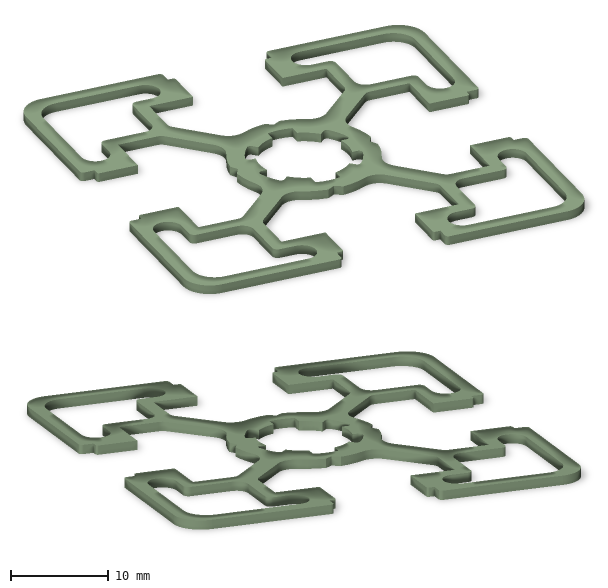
import cadquery as cq
import math


side = 45.0
thickness = 1.0
half_side = side / 2

wall = 1.5
web = 1.45
slot_half_opening = 5.05
slot_half_floor = 10.0
lip_underside = 16.45
lip_step = 0.8
lip_step_depth = 1.5
pocket_end = 7.5
outer_radius = 3.0
pocket_corner_radius = 2.5
pocket_convex_radius = 0.6
pocket_concave_radius = 1.3
lip_edge_radius = 0.4
lip_nose_radius = 0.25

spoke_width = 2.23
spoke_ring_radius = 2.0
spoke_slot_radius = 1.0
ring_radius = 8.0
ring_notch_half_width = 0.92
ring_notch_floor = 7.45

bore_radius = 5.0
lobe_radius = 6.1
lobe_side_offset = 1.4
lobe_corner_radius = 0.4
quarter_angles = (0, 90, 180, 270)
spoke_angle = 45.0


def fillet_at(body, points, radius):
    """Round the vertical edges that stand at the given XY points."""
    for x, y in points:
        nearest = cq.selectors.NearestToPointSelector((x, y, thickness / 2))
        body = body.edges("|Z").edges(nearest).fillet(radius)
    return body


def both_sides(x, y):
    """A point and its mirror image across the XY diagonal."""
    return [(x, y), (y, x)]


def on_all_quarters(body):
    """Repeat a body at the four quarter turns and join the copies."""
    joined = body
    for angle in quarter_angles[1:]:
        joined = joined.union(body.rotate((0, 0, 0), (0, 0, 1), angle))
    return joined


def diagonal_outline(half_points):
    """Extrude an outline given between two points on the XY diagonal, completed by its mirror image."""
    mirrored = [(y, x) for x, y in reversed(half_points[1:-1])]
    return cq.Workplane("XY").polyline(half_points + mirrored).close().extrude(thickness)


def corner_body():
    """Solid outline of the +X +Y corner with its two stepped lips."""
    step_x = slot_half_opening + lip_step
    step_y = half_side - lip_step_depth
    body = diagonal_outline([
        (slot_half_floor, slot_half_floor),
        (slot_half_floor, lip_underside),
        (slot_half_opening, lip_underside),
        (slot_half_opening, step_y),
        (step_x, step_y),
        (step_x, half_side),
        (half_side, half_side),
    ])
    body = fillet_at(body, [(half_side, half_side)], outer_radius)
    body = fillet_at(body, both_sides(step_x, half_side), lip_edge_radius)
    return fillet_at(body, both_sides(slot_half_opening, step_y), lip_nose_radius)


def corner_pocket():
    """Hollow of the +X +Y corner with a rounded finger inside each lip."""
    outer = half_side - wall
    inner = slot_half_floor + web
    finger = lip_underside + web
    finger_radius = (outer - finger) / 2
    finger_centre = pocket_end + finger_radius
    body = diagonal_outline([
        (inner, inner),
        (inner, finger),
        (finger_centre, finger),
        (finger_centre, outer),
        (outer, outer),
    ])
    body = fillet_at(body, [(outer, outer)], pocket_corner_radius)
    body = fillet_at(body, [(inner, inner)], pocket_concave_radius)
    body = fillet_at(body, both_sides(inner, finger), pocket_convex_radius)
    ends = both_sides(finger_centre, outer - finger_radius)
    return body.union(cq.Workplane("XY").pushPoints(ends).circle(finger_radius).extrude(thickness))


def spoke():
    """Diagonal bar from the centre to the inner angle of the corner."""
    length = (slot_half_floor + web) * math.sqrt(2)
    bar = cq.Workplane("XY").rect(length, spoke_width).extrude(thickness)
    return bar.translate((length / 2, 0, 0)).rotate((0, 0, 0), (0, 0, 1), spoke_angle)


def frame():
    """Corners, spokes and solid core with blended junctions."""
    arms = on_all_quarters(corner_body().union(spoke()))
    body = arms.union(cq.Workplane("XY").circle(ring_radius).extrude(thickness))
    half_spread = math.asin(spoke_width / 2 / ring_radius)
    spoke_offset = spoke_width / math.sqrt(2)
    for quarter in quarter_angles:
        turn = math.radians(quarter)
        junctions = []
        for sign in (-1, 1):
            angle = turn + math.radians(spoke_angle) + sign * half_spread
            junctions.append((ring_radius * math.cos(angle), ring_radius * math.sin(angle)))
        body = fillet_at(body, junctions, spoke_ring_radius)
        slot_corners = [
            (x * math.cos(turn) - y * math.sin(turn), x * math.sin(turn) + y * math.cos(turn))
            for x, y in both_sides(slot_half_floor, slot_half_floor + spoke_offset)
        ]
        body = fillet_at(body, slot_corners, spoke_slot_radius)
    return body


def ring_notch():
    """V groove in the outside of the core ring, centred on each T-slot."""
    slope = (ring_radius - ring_notch_floor) / ring_notch_half_width
    reach = 2 * ring_notch_half_width
    top = ring_notch_floor + slope * reach
    points = [(0, ring_notch_floor), (reach, top), (-reach, top)]
    return cq.Workplane("XY").polyline(points).close().extrude(thickness)


def upper_lobe():
    """Bore lobe between the upper tooth and the diagonal in the +X +Y quarter."""
    side_y = math.sqrt(lobe_radius**2 - lobe_side_offset**2)
    diagonal = lobe_radius / math.sqrt(2)
    middle_angle = (math.atan2(side_y, lobe_side_offset) + math.radians(spoke_angle)) / 2
    middle = (lobe_radius * math.cos(middle_angle), lobe_radius * math.sin(middle_angle))
    body = (
        cq.Workplane("XY")
        .moveTo(lobe_side_offset, lobe_side_offset)
        .lineTo(diagonal, diagonal)
        .threePointArc(middle, (lobe_side_offset, side_y))
        .close()
        .extrude(thickness)
    )
    return fillet_at(body, [(diagonal, diagonal), (lobe_side_offset, side_y)], lobe_corner_radius)


def core_bore():
    """Round hole, two side lobes on the X axis and four upper and lower lobes."""
    bore = cq.Workplane("XY").circle(bore_radius).extrude(thickness)
    side_band = cq.Workplane("XY").rect(2 * ring_radius, 2 * lobe_side_offset).extrude(thickness)
    side_lobes = cq.Workplane("XY").circle(lobe_radius).extrude(thickness).intersect(side_band)
    right_lobes = upper_lobe().union(upper_lobe().mirror("XZ"))
    return bore.union(side_lobes).union(right_lobes).union(right_lobes.mirror("YZ"))


result = (
    frame()
    .cut(on_all_quarters(corner_pocket()))
    .cut(on_all_quarters(ring_notch()))
    .cut(core_bore())
)